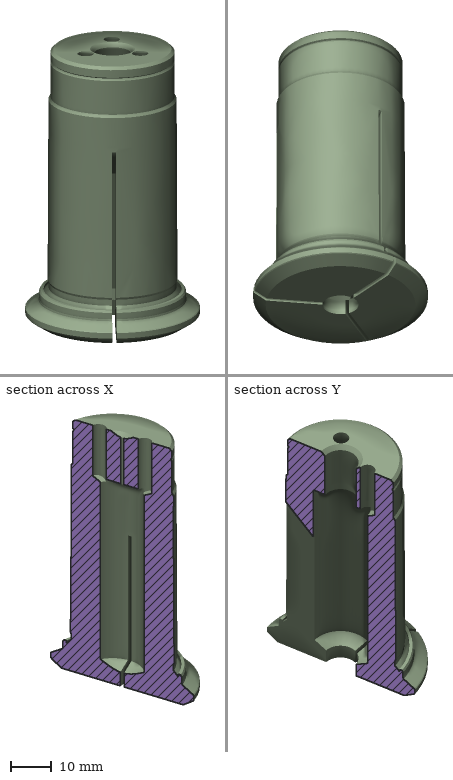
import cadquery as cq
import math

height = 70.0
rim_radius = 21.5

sleeve_low_radius = 15.95
sleeve_top_radius = 15.75
head_radius = 30.5 / 2
head_face_radius = 14.5
head_bottom_z = 57.8
shoulder_height = 0.7
head_chamfer_height = 0.7
sleeve_bottom_z = 10.85

groove_top_z = 67.35
groove_root_z = 67.05
groove_bottom_z = 66.5
groove_depth = 0.35

neck_radius = 15.75
neck_top_z = 10.3
neck_bottom_z = 8.75

collar_radius = 18.05
collar_top_z = 8.2
collar_chamfer_width = 0.35
collar_chamfer_height = 0.55
relief_radius = 16.95
collar_bottom_z = 6.0
cone_top_radius = 18.2
cone_top_z = 5.5
rim_top_z = 3.7
rim_bottom_z = 1.9
rim_chamfer = 0.2
base_radius = 18.4

mouth_radius = 8.9 / 2
chamber_radius = 15.5 / 2
chamber_top_z = 56.0
seat_top_z = 5.8
seat_angle = 60.0
entry_chamfer = 1.05

hole_count = 3
hole_radius = 4.0 / 2
hole_circle_radius = 15.5 / 2

slot_count = 3
slot_width = 1.05
slot_top_z = 48.3


def revolve_profile(points):
    """Revolve a closed (radius, z) outline about the Z axis."""
    return cq.Workplane("XZ").polyline(points).close().revolve(360, (0, 0), (0, 1))


def cone_height(radial_run):
    """Height of a seat cone whose side leans seat_angle from the axis."""
    return radial_run / math.tan(math.radians(seat_angle))


def make_body():
    relief_bottom_z = neck_bottom_z - (relief_radius - neck_radius)
    return revolve_profile([
        (0, 0),
        (base_radius, 0),
        (rim_radius - rim_chamfer, rim_bottom_z),
        (rim_radius, rim_bottom_z + rim_chamfer),
        (rim_radius, rim_top_z - rim_chamfer),
        (rim_radius - rim_chamfer, rim_top_z),
        (cone_top_radius, cone_top_z),
        (collar_radius, collar_bottom_z),
        (collar_radius, collar_top_z - collar_chamfer_height),
        (collar_radius - collar_chamfer_width, collar_top_z),
        (relief_radius, collar_top_z),
        (relief_radius, relief_bottom_z),
        (neck_radius, neck_bottom_z),
        (neck_radius, neck_top_z),
        (sleeve_low_radius, sleeve_bottom_z),
        (sleeve_top_radius, head_bottom_z - shoulder_height),
        (head_radius, head_bottom_z),
        (head_radius, groove_bottom_z),
        (head_radius - groove_depth, groove_root_z),
        (head_radius, groove_top_z),
        (head_radius, height - head_chamfer_height),
        (head_face_radius, height),
        (0, height),
    ])


def make_bore():
    """Stepped bore: narrow base outlet, conical seat, wide chamber, narrow mouth."""
    seat_bottom_z = seat_top_z - cone_height(chamber_radius - mouth_radius)
    return revolve_profile([
        (0, 0),
        (mouth_radius, 0),
        (mouth_radius, seat_bottom_z),
        (chamber_radius, seat_top_z),
        (chamber_radius, chamber_top_z),
        (mouth_radius, chamber_top_z),
        (mouth_radius, height - entry_chamfer),
        (mouth_radius + entry_chamfer, height),
        (0, height),
    ])


def make_holes():
    """Vertical holes whose floors lie on a cone rising outward from the chamber wall."""
    outer_reach = hole_circle_radius + hole_radius
    floor_rise = cone_height(outer_reach - chamber_radius)
    floor_z = chamber_top_z - floor_rise
    envelope = revolve_profile([
        (0, floor_z),
        (chamber_radius, floor_z),
        (outer_reach, chamber_top_z),
        (outer_reach, height),
        (0, height),
    ])
    drills = (
        cq.Workplane("XY")
        .workplane(offset=floor_z)
        .polarArray(hole_circle_radius, 0, 360, hole_count)
        .circle(hole_radius)
        .extrude(height - floor_z)
    )
    return drills.intersect(envelope)


def make_slot(angle):
    """Radial slot from the axis outward, its roof sloping down toward the axis."""
    roof_axis_z = slot_top_z - sleeve_top_radius
    return (
        cq.Workplane("XZ")
        .polyline([
            (0, 0),
            (rim_radius, 0),
            (rim_radius, slot_top_z),
            (sleeve_top_radius, slot_top_z),
            (0, roof_axis_z),
        ])
        .close()
        .extrude(slot_width / 2, both=True)
        .rotate((0, 0, 0), (0, 0, 1), angle)
    )


result = make_body().cut(make_bore()).cut(make_holes())
for index in range(slot_count):
    result = result.cut(make_slot(180 + index * 360 / slot_count))